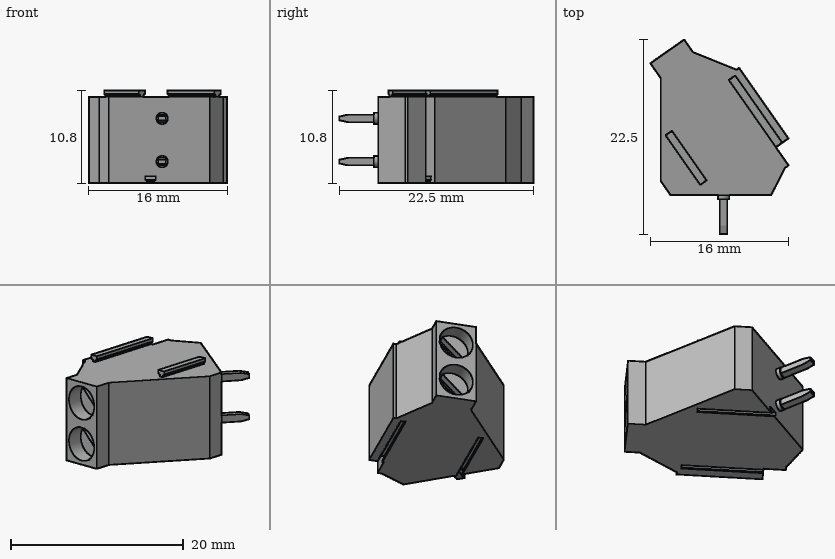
import cadquery as cq
import math


pitch = 5.0
pole_count = 2
height = pole_count * pitch
slant = 55.0
along = cq.Vector(math.cos(math.radians(slant)), -math.sin(math.radians(slant)))
across = cq.Vector(math.sin(math.radians(slant)), math.cos(math.radians(slant)))
pole_heights = [(pole + 0.5) * pitch for pole in range(pole_count)]

pin_wall_end = 12.8
corner_cut = 2.0
left_wall_end = 13.55
lug_left_length = 2.07
lug_width = 4.8
lug_right_length = 1.78
entry_face_start = (9.07, 14.74)
entry_face_length = 10.0
entry_notch_length = 0.34
entry_notch_angle = 45.0
step_depth = 1.78
lower_face_length = 2.56
lip_depth = 0.52

hole_diameter = 4.0
hole_depth = 2.0
screw_slot_width = 0.9
screw_slot_depth = 1.0
screw_slot_angle = 45.0

pin_x = 7.3
pin_thickness = 0.9
pin_length = 4.5
pin_tip_length = 1.01
pin_tip_thickness = 0.45
collar_diameter = 1.33
collar_length = 0.5

rail_width = 0.9
rail_neck_width = 0.47
rail_height = 0.75
rail_head_height = 0.38
rail_taper_height = 0.2
groove_clearance = 0.05
left_rail_start = cq.Vector(0.95, 7.18)
left_rail_length = 7.0
right_rail_length = 9.5

lug_left = cq.Vector(0, left_wall_end) - along * lug_left_length
lug_right = lug_left + across * lug_width
lug_inner = lug_right + along * lug_right_length
entry_start = cq.Vector(*entry_face_start)
entry_end = entry_start + along * entry_face_length
step_corner = entry_end - across * step_depth
lip_outer = step_corner + along * lower_face_length
lip_inner = lip_outer - across * lip_depth
notch_corner = entry_start - cq.Vector(
    entry_notch_length * math.cos(math.radians(entry_notch_angle)),
    entry_notch_length * math.sin(math.radians(entry_notch_angle)),
)
right_rail_start = step_corner + across * (rail_width / 2) - along * right_rail_length


def make_housing():
    corners = [
        cq.Vector(corner_cut * along.x, 0),
        cq.Vector(pin_wall_end, 0),
        lip_inner,
        lip_outer,
        step_corner,
        entry_end,
        entry_start,
        notch_corner,
        lug_inner,
        lug_right,
        lug_left,
        cq.Vector(0, left_wall_end),
        cq.Vector(0, -corner_cut * along.y),
    ]
    outline = [(corner.x, corner.y) for corner in corners]
    return cq.Workplane("XY").polyline(outline).close().extrude(height)


def make_screw_hole(z):
    """Blind round hole into the lug face, with a diagonal screwdriver slot in its floor."""
    mouth = (lug_left + lug_right) * 0.5 + cq.Vector(0, 0, z)
    mouth_plane = cq.Plane(origin=mouth, xDir=across, normal=along)
    floor_plane = cq.Plane(origin=mouth + along * hole_depth, xDir=across, normal=along)
    hole = cq.Workplane(mouth_plane).circle(hole_diameter / 2).extrude(hole_depth)
    head = cq.Workplane(floor_plane).circle(hole_diameter / 2).extrude(screw_slot_depth)
    slot = (
        cq.Workplane(floor_plane)
        .transformed(rotate=(0, 0, screw_slot_angle))
        .rect(hole_diameter, screw_slot_width)
        .extrude(screw_slot_depth)
    )
    return hole.union(slot.intersect(head))


def make_pin(z):
    """Square pin with a round collar; the tip tapers in Z only."""
    collar = (
        cq.Workplane("XZ", origin=(pin_x, 0, z)).circle(collar_diameter / 2).extrude(collar_length)
    )
    half = pin_thickness / 2
    half_tip = pin_tip_thickness / 2
    taper_start = pin_tip_length - pin_length
    blade = (
        cq.Workplane("YZ", origin=(pin_x, 0, z))
        .polyline([
            (0, -half),
            (taper_start, -half),
            (-pin_length, -half_tip),
            (-pin_length, half_tip),
            (taper_start, half),
            (0, half),
        ])
        .close()
        .extrude(half, both=True)
    )
    return collar.union(blade)


def make_dovetail(start, z, length, clearance=0.0):
    """Bar along the slant, rising from height z: narrow neck, flared sides, wide head."""
    half_neck = rail_neck_width / 2 + clearance
    half_head = rail_width / 2 + clearance
    head_base = rail_height - rail_head_height
    neck_top = head_base - rail_taper_height
    plane = cq.Plane(origin=start + cq.Vector(0, 0, z), xDir=across, normal=along)
    right_side = [
        (half_neck, 0),
        (half_neck, neck_top + clearance),
        (half_head, head_base + clearance),
        (half_head, rail_height + clearance),
    ]
    left_side = [(-offset, rise) for offset, rise in reversed(right_side)]
    return cq.Workplane(plane).polyline(right_side + left_side).close().extrude(length)


result = make_housing()

for pole_z in pole_heights:
    result = result.cut(make_screw_hole(pole_z)).union(make_pin(pole_z))

groove_run_out = left_rail_start.y / -along.y + rail_width
result = result.cut(make_dovetail(left_rail_start, 0, groove_run_out, groove_clearance))
result = result.cut(make_dovetail(right_rail_start, 0, right_rail_length, groove_clearance))

for rail_start, rail_length in [
    (left_rail_start, left_rail_length),
    (right_rail_start, right_rail_length),
]:
    result = result.union(make_dovetail(rail_start, height, rail_length))